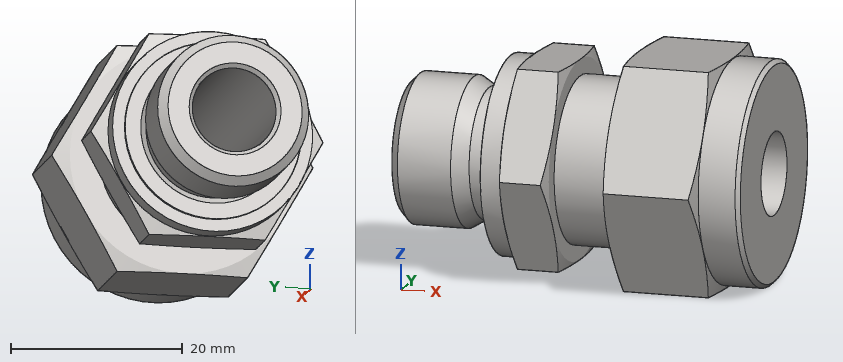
import cadquery as cq
import math

total_length = 44.2
stud_chamfer_end = 1.0
stud_end = 7.5
neck_start = 9.4
collar_step_start = 11.65
collar_start = 12.05
body_hex_start = 14.55
body_hex_end = 20.5
nut_hex_start = 27.7
nut_hex_end = 39.2

stud_radius = 9.0
stud_face_radius = 8.0
neck_radius = 7.85
collar_step_radius = 10.5
collar_radius = 11.95
barrel_radius = 10.05
bore_radius = 5.0
nut_tail_radius = 13.45
body_hex_flats = 24.0
nut_hex_flats = 27.0

bore_chamfer = 0.5
collar_countersink = 0.8
nut_tail_chamfer = 0.5

hex_bevel_angle = 15.0
body_hex_face_radius = 12.02
nut_hex_face_radius = 13.53


def revolve_about_x(profile):
    """Solid of revolution about X from (x, radius) points; it closes along the axis."""
    return cq.Workplane("XY").polyline(profile).close().revolve(360, (0, 0, 0), (1, 0, 0))


def bevelled_hexagon(x_start, x_end, across_flats, face_radius):
    """Hexagonal prism along X with flats on +Z and -Z and both ends bevelled at the corners."""
    corner_radius = across_flats / math.sqrt(3)
    bevel = (corner_radius - face_radius) * math.tan(math.radians(hex_bevel_angle))
    prism = (
        cq.Workplane("YZ", origin=(x_start, 0, 0))
        .polygon(6, 2 * corner_radius)
        .extrude(x_end - x_start)
    )
    envelope = revolve_about_x([
        (x_start, 0),
        (x_start, face_radius),
        (x_start + bevel, corner_radius),
        (x_end - bevel, corner_radius),
        (x_end, face_radius),
        (x_end, 0),
    ])
    return prism.intersect(envelope)


def cylinder_along_x(x_start, x_end, radius):
    """Round bar centred on X."""
    return cq.Workplane("YZ", origin=(x_start, 0, 0)).circle(radius).extrude(x_end - x_start)


def make_fitting_body():
    """Stud, undercut neck, stepped collar countersunk around the neck, hexagon and barrel."""
    turned = revolve_about_x([
        (0, 0),
        (0, stud_face_radius),
        (stud_chamfer_end, stud_radius),
        (stud_end, stud_radius),
        (neck_start, neck_radius),
        (collar_step_start + collar_countersink, neck_radius),
        (collar_step_start, neck_radius + collar_countersink),
        (collar_step_start, collar_step_radius),
        (collar_start, collar_step_radius),
        (collar_start, collar_radius),
        (body_hex_start, collar_radius),
        (body_hex_start, barrel_radius),
        (nut_hex_end, barrel_radius),
        (nut_hex_end, 0),
    ])
    hexagon = bevelled_hexagon(body_hex_start, body_hex_end, body_hex_flats, body_hex_face_radius)
    bore = revolve_about_x([
        (0, 0),
        (0, bore_radius + bore_chamfer),
        (bore_chamfer, bore_radius),
        (nut_hex_end, bore_radius),
        (nut_hex_end, 0),
    ])
    return turned.union(hexagon).cut(bore)


def make_nut():
    """Hexagon nut with a round tail, a recess for the barrel and a through bore."""
    hexagon = bevelled_hexagon(nut_hex_start, nut_hex_end, nut_hex_flats, nut_hex_face_radius)
    tail = cylinder_along_x(nut_hex_end, total_length, nut_tail_radius)
    tail = tail.faces(">X").chamfer(nut_tail_chamfer)
    barrel_recess = cylinder_along_x(nut_hex_start, nut_hex_end, barrel_radius)
    bore = cylinder_along_x(nut_hex_end, total_length, bore_radius)
    return hexagon.union(tail).cut(barrel_recess).cut(bore)


fitting_body = make_fitting_body()
nut = make_nut()
result = cq.Compound.makeCompound([*fitting_body.solids().vals(), *nut.solids().vals()])